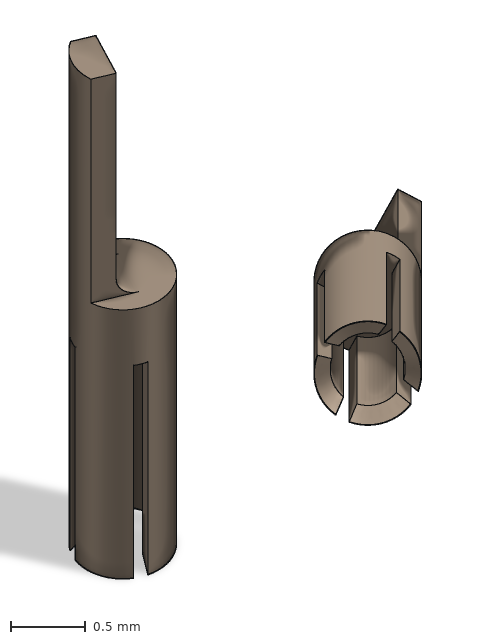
import cadquery as cq

total_height = 4.4
finger_length = 1.9
collar_height = 0.5
body_radius = 0.36
shoulder_z = finger_length + collar_height
tail_length = total_height - shoulder_z

bore_radius = 0.25
rim_width = 0.005
lead_in_depth = body_radius - rim_width - bore_radius

slot_width = 0.1

tail_width = 0.405
tail_back_y = -0.12
fillet_radius = 0.16


def socket_bore():
    """Bore as deep as the fingers, widening to a cone at the tips."""
    return (
        cq.Workplane("XZ")
        .polyline([
            (0, 0),
            (bore_radius + lead_in_depth, 0),
            (bore_radius, lead_in_depth),
            (bore_radius, finger_length),
            (0, finger_length),
        ])
        .close()
        .revolve(360, (0, 0), (0, 1))
    )


def spring_fingers():
    """Bored round bar split into four fingers by two crossing slots."""
    fingers = cq.Workplane("XY").circle(body_radius).extrude(finger_length)
    for size_x, size_y in ((2 * body_radius, slot_width), (slot_width, 2 * body_radius)):
        slot = cq.Workplane("XY").rect(size_x, size_y).extrude(finger_length)
        fingers = fingers.cut(slot)
    return fingers.cut(socket_bore())


def collar():
    """Solid disc that joins the fingers to the tail."""
    return cq.Workplane("XY").workplane(offset=finger_length).circle(body_radius).extrude(collar_height)


def tail():
    """Flat-backed tail with a concave root, trimmed to the collar's round outline."""
    root_y = tail_back_y + fillet_radius
    arc_offset = fillet_radius * (1 - 0.5 ** 0.5)
    profile = (
        cq.Workplane("YZ")
        .moveTo(-body_radius, shoulder_z)
        .lineTo(root_y, shoulder_z)
        .threePointArc(
            (tail_back_y + arc_offset, shoulder_z + arc_offset),
            (tail_back_y, shoulder_z + fillet_radius),
        )
        .lineTo(tail_back_y, total_height)
        .lineTo(-body_radius, total_height)
        .close()
        .extrude(tail_width / 2, both=True)
    )
    envelope = cq.Workplane("XY").workplane(offset=shoulder_z).circle(body_radius).extrude(tail_length)
    return profile.intersect(envelope)


result = collar().union(spring_fingers()).union(tail())